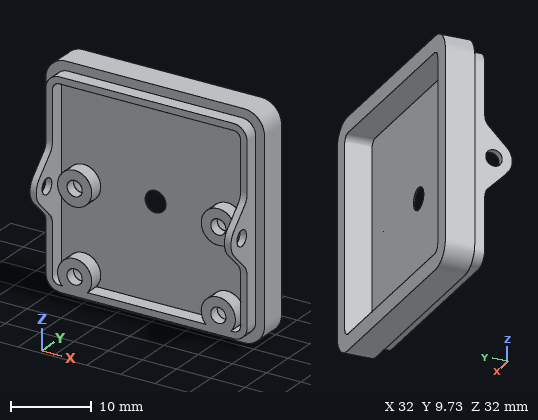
import cadquery as cq
import math

side = 32.0
corner_radius = 3.0
plate_thickness = 4.0

rim_side = 29.4
rim_height = 2.0
rim_wall = 0.95
rim_corner_radius = 2.0
rim_top = plate_thickness + rim_height

floor_front = 3.9
web_thickness = 0.2
floor_back = floor_front - web_thickness

boss_diameter = 5.0
boss_x = 10.5
boss_rows = (0.0, -12.05)
screw_diameter = 2.2
screw_depth = 1.5
drill_tip_angle = 118.0

center_hole_diameter = 3.0

total_depth = 9.73
lug_tip_radius = 2.5
lug_root_radius = 2.0
lug_hole_diameter = 2.2
lug_center = total_depth - lug_tip_radius


def rounded_block(width, radius, start, end):
    """Square block with rounded corners, from depth start to depth end."""
    return (
        cq.Workplane("XZ", origin=(0, -start, 0))
        .rect(width, width)
        .extrude(end - start)
        .edges("|Y")
        .fillet(radius)
    )


def cylinder(x, z, diameter, start, end):
    """Cylinder along Y, from depth start to depth end."""
    return cq.Workplane("XZ", origin=(x, -start, z)).circle(diameter / 2).extrude(end - start)


def screw_hole(x, z):
    """Blind hole with a conical drill tip, sunk from the boss face."""
    radius = screw_diameter / 2
    tip_length = radius / math.tan(math.radians(drill_tip_angle / 2))
    straight_end = rim_top - screw_depth
    return (
        cq.Workplane("XY", origin=(x, 0, z))
        .moveTo(0, -rim_top)
        .lineTo(radius, -rim_top)
        .lineTo(radius, -straight_end)
        .lineTo(0, -(straight_end - tip_length))
        .close()
        .revolve(360, (0, 0), (0, 1))
    )


def lug(x_start):
    """Pierced lug standing on a side wall of the rim, in the YZ plane."""
    diagonal = math.sqrt(0.5)
    tip_offset = lug_tip_radius * diagonal
    flank_foot = lug_center + lug_tip_radius / diagonal - rim_top
    root_tangent = lug_root_radius * math.tan(math.radians(22.5))
    root_z = flank_foot + root_tangent
    flank_z = flank_foot - root_tangent * diagonal
    flank_y = rim_top + root_tangent * diagonal
    root_mid_y = rim_top + lug_root_radius * (1 - math.cos(math.radians(22.5)))
    root_mid_z = root_z - lug_root_radius * math.sin(math.radians(22.5))
    tip_y = lug_center + tip_offset
    return (
        cq.Workplane("YZ", origin=(x_start, 0, 0))
        .moveTo(-plate_thickness, root_z)
        .lineTo(-rim_top, root_z)
        .threePointArc((-root_mid_y, root_mid_z), (-flank_y, flank_z))
        .lineTo(-tip_y, tip_offset)
        .threePointArc((-total_depth, 0), (-tip_y, -tip_offset))
        .lineTo(-flank_y, -flank_z)
        .threePointArc((-root_mid_y, -root_mid_z), (-rim_top, -root_z))
        .lineTo(-plate_thickness, -root_z)
        .close()
        .extrude(rim_wall)
    )


recess_side = rim_side - 2 * rim_wall
recess_radius = rim_corner_radius - rim_wall
body = rounded_block(side, corner_radius, 0, plate_thickness)
body = body.union(rounded_block(rim_side, rim_corner_radius, 0, rim_top))
body = body.cut(rounded_block(recess_side, recess_radius, floor_front, rim_top))
body = body.cut(rounded_block(recess_side, recess_radius, 0, floor_back))

for lug_x in (-rim_side / 2, rim_side / 2 - rim_wall):
    body = body.union(lug(lug_x))
lug_drill = (
    cq.Workplane("YZ", origin=(-side / 2, 0, 0))
    .center(-lug_center, 0)
    .circle(lug_hole_diameter / 2)
    .extrude(side)
)
body = body.cut(lug_drill)

boss_centers = [(x, z) for x in (-boss_x, boss_x) for z in boss_rows]
for x, z in boss_centers:
    body = body.union(cylinder(x, z, boss_diameter, floor_back, rim_top))
for x, z in boss_centers:
    body = body.cut(screw_hole(x, z))

body = body.cut(cylinder(0, 0, center_hole_diameter, floor_back, floor_front))

result = body